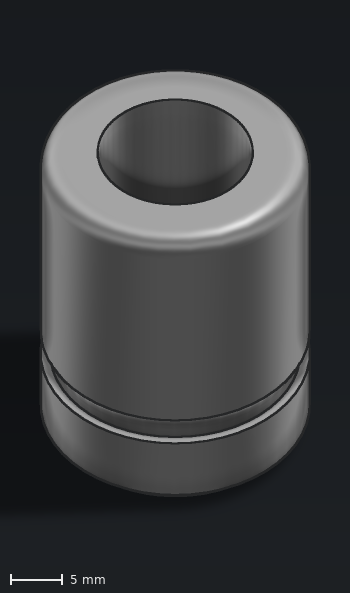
import cadquery as cq

length = 35.0
outer_diameter = 26.0
outer_radius = outer_diameter / 2
bore_radius = 7.5
top_round = 2.17

taper_size = 2.0

groove_bottom = 8.75
groove_top = 11.75
groove_depth = 0.9
groove_root_radius = outer_radius - groove_depth

groove_height = groove_top - groove_bottom
groove_arc_radius = (groove_height**2 + groove_depth**2) / (2 * groove_depth)
groove_mid_height = groove_height / 2
groove_mid_depth = groove_arc_radius - (groove_arc_radius**2 - groove_mid_height**2) ** 0.5
groove_mid = (groove_root_radius + groove_mid_depth, groove_bottom + groove_mid_height)

half_section = (
    cq.Workplane("XZ")
    .moveTo(bore_radius, 0)
    .lineTo(outer_radius - taper_size, 0)
    .lineTo(outer_radius, taper_size)
    .lineTo(outer_radius, groove_bottom)
    .lineTo(groove_root_radius, groove_bottom)
    .threePointArc(groove_mid, (outer_radius, groove_top))
    .lineTo(outer_radius, length)
    .lineTo(bore_radius, length)
    .close()
)
bushing = half_section.revolve(360, (0, 0, 0), (0, 1, 0))

result = bushing.faces(">Z").edges(cq.selectors.RadiusNthSelector(-1)).fillet(top_round)